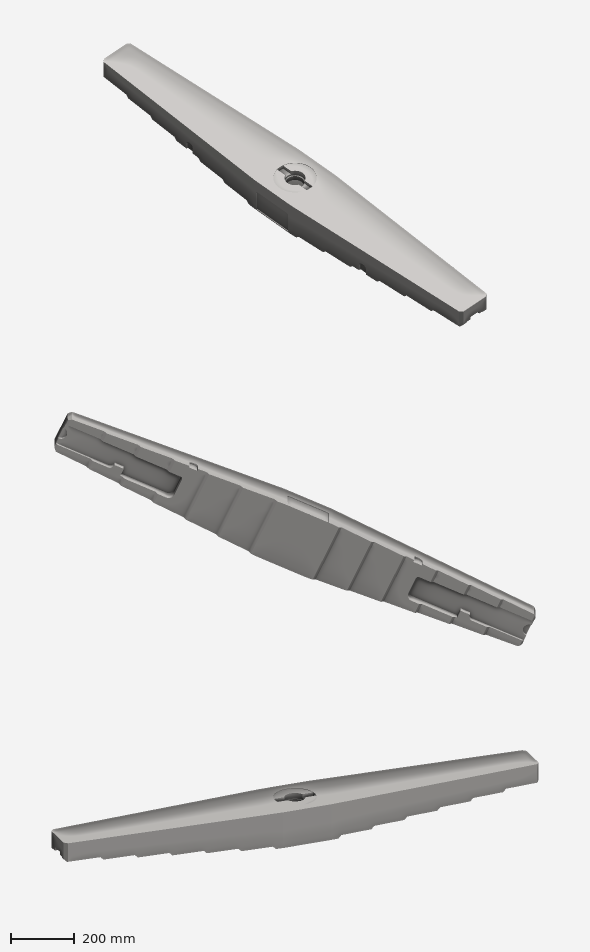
import cadquery as cq
import math

length = 1615.0
width = 200.0
height = 121.0
half_length = length / 2
half_width = width / 2

middle_half_length = 82.0
end_half_width = 61.0
end_chamfer = 11.0

side_draft_degrees = 0.8

step_count = 6
step_height = 10.0
step_pitch = 115.0
first_step_start = 107.0
end_edge_chamfer = 6.0

cap_diameter = 135.0
cap_recess = 2.0
slot_width = 26.0
slot_depth = 15.0
bore_diameter = 66.0
bore_depth = 21.0
lower_bore_diameter = 58.0
lower_bore_depth = 37.0

panel_width = 142.0
panel_bottom = 3.0
panel_top = 78.0
panel_depth = 3.0
panel_corner_radius = 6.0

notch_x = 388.0
notch_width = 29.0
notch_top = 63.0
notch_depth = 6.0
notch_corner_radius = 11.0

channel_top = 68.0
channel_half_width = 37.0
outer_channel_end = 614.0
outer_corner_radius = 15.0
inner_channel_start = 581.0
inner_channel_end = 404.0
inner_channel_side = 47.0
inner_corner_radius = 20.0
inner_small_corner_radius = 8.0
throat_side = 21.0
end_relief_diameter = 39.0
end_relief_top = 78.0


def arm_side_y(x):
    """Y of the tapered -Y side, at the base, at distance x from the middle."""
    taper_length = half_length - end_chamfer - middle_half_length
    taper = (half_width - end_half_width) / taper_length
    return -half_width + taper * (x - middle_half_length)


def cut_both_arms(body, cutter):
    """Cut a feature of the -X arm and its mirror image on the +X arm."""
    return body.cut(cutter).cut(cutter.mirror("YZ"))


def plan_prism():
    """Drafted plan shape, made long enough to reach the upright end faces at the top."""
    draft_slope = math.tan(math.radians(side_draft_degrees))
    base_half_length = half_length + draft_slope * height
    corner_x = base_half_length - end_chamfer
    end_flat = end_half_width - end_chamfer
    quarter = [
        (middle_half_length, half_width),
        (corner_x, end_half_width),
        (base_half_length, end_flat),
    ]
    right_side = quarter + [(x, -y) for x, y in reversed(quarter)]
    left_side = [(-x, y) for x, y in reversed(right_side)]
    outline = cq.Workplane("XY").polyline(right_side + left_side).close()
    return outline.extrude(height, taper=side_draft_degrees)


def stepped_profile():
    """Flat-topped side outline with square ends and a stepped underside."""
    right_edge = []
    for step in range(step_count):
        x = first_step_start + step * step_pitch
        z = step * step_height
        right_edge += [(x, z), (x + step_height, z + step_height)]
    end_z = step_count * step_height
    right_edge += [
        (half_length - end_edge_chamfer, end_z),
        (half_length, end_z + end_edge_chamfer),
        (half_length, height),
    ]
    left_edge = [(-x, z) for x, z in reversed(right_edge)]
    outline = cq.Workplane("XZ").polyline(right_edge + left_edge).close()
    return outline.extrude(half_width, both=True)


def cut_pivot_cap(body):
    top = cq.Workplane("XY", origin=(0, 0, height))
    recess = top.circle(cap_diameter / 2).extrude(-cap_recess)
    slot = top.rect(cap_diameter, slot_width).extrude(-slot_depth)
    slot = slot.intersect(top.circle(cap_diameter / 2).extrude(-slot_depth))
    bore = top.circle(bore_diameter / 2).extrude(-bore_depth)
    lower_bore = top.circle(lower_bore_diameter / 2).extrude(-lower_bore_depth)
    return body.cut(recess).cut(slot).cut(bore).cut(lower_bore)


def cut_panel(body):
    panel = (
        cq.Workplane("XY")
        .box(panel_width, panel_depth, panel_top - panel_bottom, centered=(True, False, False))
        .edges("|Y and >Z")
        .fillet(panel_corner_radius)
        .translate((0, -half_width, panel_bottom))
    )
    return body.cut(panel)


def cut_arm_notches(body):
    floor_y = arm_side_y(notch_x) + notch_depth
    notch = (
        cq.Workplane("XY")
        .box(notch_width, half_width, notch_top, centered=(True, False, False))
        .edges("|Y and >Z")
        .fillet(notch_corner_radius)
        .translate((-notch_x, floor_y - half_width, 0))
    )
    return cut_both_arms(body, notch)


def channel(start_x, end_x, y_min, y_max):
    """Box under the -X arm from start_x inwards to end_x, up to the channel ceiling."""
    block = cq.Workplane("XY").box(start_x - end_x, y_max - y_min, channel_top, centered=False)
    return block.translate((-start_x, y_min, 0))


def cut_channels(body):
    outer = channel(half_length, outer_channel_end, -channel_half_width, channel_half_width)
    outer = outer.edges("|Z and >X and >Y").fillet(outer_corner_radius)
    throat = channel(half_length, inner_channel_end + inner_corner_radius, -channel_half_width, throat_side)
    inner = channel(inner_channel_start, inner_channel_end, -channel_half_width, inner_channel_side)
    inner = inner.edges("|Z and >X and >Y").fillet(inner_corner_radius)
    inner = inner.edges("|Z and >X and <Y").fillet(inner_small_corner_radius)
    end_relief = (
        cq.Workplane("XY")
        .center(-half_length, 0)
        .circle(end_relief_diameter / 2)
        .extrude(end_relief_top)
    )
    for cutter in (outer, throat, inner, end_relief):
        body = cut_both_arms(body, cutter)
    return body


beam = plan_prism().intersect(stepped_profile())
beam = cut_pivot_cap(beam)
beam = cut_panel(beam)
beam = cut_arm_notches(beam)
result = cut_channels(beam)